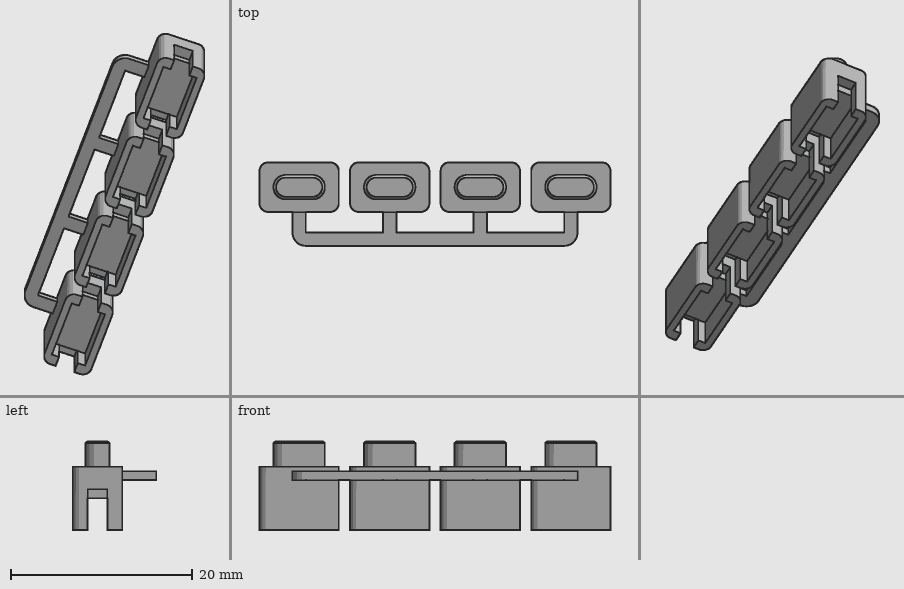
import cadquery as cq
import math

button_count = 4
button_pitch = 10.0

body_length = 8.8
body_width = 5.5
body_height = 7.0
body_corner_radius = 1.0

knob_length = 5.7
knob_width = 2.7
knob_height = 2.8
lower_bevel_inset = 0.2
lower_bevel_height = 0.15
upper_bevel_inset = 0.1
upper_bevel_height = 0.05

end_wall = 1.15
side_wall = 0.8
cavity_height = 3.5
notch_width = 2.2
notch_height = 4.5

rail_width = 1.5
rail_thickness = 1.0
rail_top_drop = 0.5
rail_reach = 3.75

button_centers = [(i - (button_count - 1) / 2) * button_pitch for i in range(button_count)]
body_front = -body_width / 2
rail_front = body_front - rail_reach
rail_bottom = body_height - rail_top_drop - rail_thickness


def block(length, width, height):
    """Box centered on X and Y, standing on Z = 0."""
    return cq.Workplane("XY").box(length, width, height, centered=(True, True, False))


def knob_layer(bottom, inset, height, rim_inset=0.0):
    """Obround layer inset from the knob outline, its top inset further by rim_inset."""
    taper = math.degrees(math.atan2(rim_inset, height))
    return (
        cq.Workplane("XY")
        .workplane(offset=bottom)
        .slot2D(knob_length - 2 * inset, knob_width - 2 * inset)
        .extrude(height, taper=taper)
    )


def make_knob():
    """Obround knob on the body top, its rim broken by a steep bevel and then a shallow one."""
    straight_height = knob_height - lower_bevel_height - upper_bevel_height
    lower_bevel_bottom = body_height + straight_height
    upper_bevel_bottom = lower_bevel_bottom + lower_bevel_height

    knob = knob_layer(body_height, 0, straight_height)
    knob = knob.union(knob_layer(lower_bevel_bottom, 0, lower_bevel_height, lower_bevel_inset))
    return knob.union(
        knob_layer(upper_bevel_bottom, lower_bevel_inset, upper_bevel_height, upper_bevel_inset)
    )


def make_hollow():
    """Material removed from below: the cavity and the taller end-wall notches."""
    hollow = block(body_length - 2 * end_wall, body_width - 2 * side_wall, cavity_height)
    notch_offset = (body_length - end_wall) / 2
    for side in (-1, 1):
        notch = block(end_wall, notch_width, notch_height)
        hollow = hollow.union(notch.translate((side * notch_offset, 0, 0)))
    return hollow


def make_button():
    """One hollow button centered on X = 0."""
    body = block(body_length, body_width, body_height).edges("|Z").fillet(body_corner_radius)
    return body.union(make_knob()).cut(make_hollow())


def make_frame():
    """Rail with rounded outer corners plus one tie running back to each body."""
    frame_length = button_centers[-1] - button_centers[0] + rail_width
    rail_center = rail_front + rail_width / 2
    tie_center = (rail_front + body_front) / 2

    frame = block(frame_length, rail_width, rail_thickness).translate((0, rail_center, 0))
    for x in button_centers:
        tie = block(rail_width, rail_reach, rail_thickness)
        frame = frame.union(tie.translate((x, tie_center, 0)))

    front_corners = cq.selectors.BoxSelector(
        (-frame_length, rail_front - rail_width / 2, -rail_thickness),
        (frame_length, rail_center, 2 * rail_thickness),
    )
    frame = frame.edges("|Z").edges(front_corners).fillet(rail_width)
    return frame.translate((0, 0, rail_bottom))


result = make_frame()
button = make_button()
for x in button_centers:
    result = result.union(button.translate((x, 0, 0)))